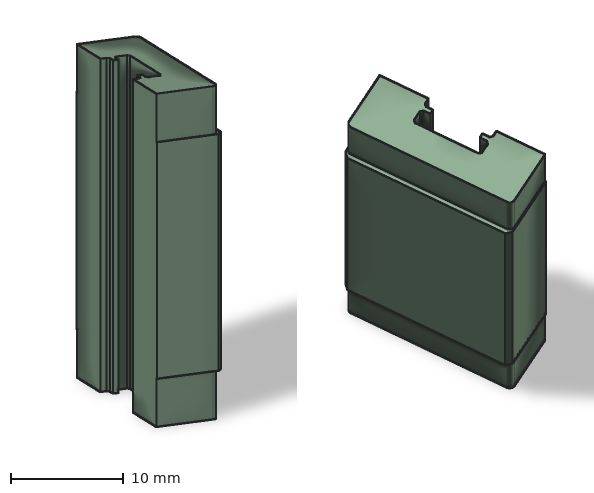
import cadquery as cq

length = 30.8
width = 17.0
depth = 6.5
back_chamfer = 0.5

end_length = 4.47
end_side_step = 0.1
end_back_step = 0.5
end_corner_radius = 0.5

slot_width = 6.9
slot_depth = 2.8
slot_chamfer = 0.22
lip_gap = 5.02
lip_front = 0.83
lip_thickness = 0.5

front = -depth / 2
middle_length = length - 2 * end_length
end_width = width - 2 * end_side_step
end_depth = depth - end_back_step


def front_aligned_box(box_width, box_depth, box_length):
    """Box centred in X and Z, with its front side on the front face."""
    return cq.Workplane("XY").box(box_width, box_depth, box_length).translate((0, front + box_depth / 2, 0))


def make_body():
    middle = front_aligned_box(width, depth, middle_length).edges("|Z and >Y").chamfer(back_chamfer)
    core = front_aligned_box(end_width, end_depth, length).edges("|Z and >Y").fillet(end_corner_radius)
    return middle.union(core)


def make_slot():
    """Slot split by the lips into a mouth, a narrow gap and an inner channel."""
    lip_back = lip_front + lip_thickness
    mouth = front_aligned_box(slot_width, lip_front, length).edges("|Z and >Y").chamfer(slot_chamfer)
    gap = front_aligned_box(lip_gap, slot_depth, length)
    channel = front_aligned_box(slot_width, slot_depth - lip_back, length).edges("|Z").chamfer(slot_chamfer)
    return mouth.union(gap).union(channel.translate((0, lip_back, 0)))


result = make_body().cut(make_slot())